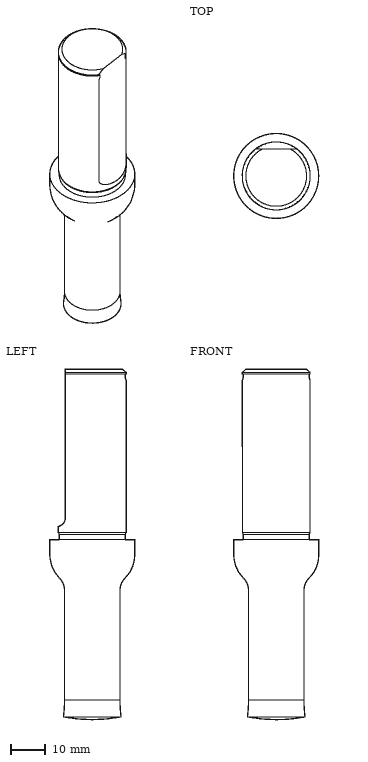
import cadquery as cq
import math

total_length = 103.0
shank_radius = 20.0 / 2
groove_radius = 19.5 / 2
collar_radius = 25.0 / 2
stem_radius = 16.4 / 2
tip_radius = 17.0 / 2

dome_height = 0.8
flare_top = 5.8

fillet_bottom = 38.0
ball_top = 48.3
collar_top = 52.9
ball_radius = 9.3
relief_radius = 21.7 / 2
relief_depth = 0.3

neck_top = 54.5
shank_bottom = 55.0
groove_cone_bottom = 99.6
groove_bottom = 100.5
groove_top = 101.6
chamfer_bottom = 102.0
end_radius = 17.8 / 2

flat_offset = 7.9
flat_end = 59.3
runout_radius = 2.6


def point_on_circle(center, radius, angle):
    return (center[0] + radius * math.cos(angle), center[1] + radius * math.sin(angle))


def make_holder():
    """Revolved stem, collar and shank, seated on top of the tip."""
    ball_center = (collar_radius - ball_radius, ball_top)
    rise = ball_top - fillet_bottom
    offset = stem_radius - ball_center[0]
    fillet_radius = (offset**2 + rise**2 - ball_radius**2) / (2 * (ball_radius - offset))
    fillet_center = (stem_radius + fillet_radius, fillet_bottom)
    blend_angle = math.atan2(rise, offset + fillet_radius)
    fillet_middle = point_on_circle(fillet_center, fillet_radius, math.pi - blend_angle / 2)
    blend_point = point_on_circle(ball_center, ball_radius, -blend_angle)
    ball_middle = point_on_circle(ball_center, ball_radius, -blend_angle / 2)

    holder = (
        cq.Workplane("XZ")
        .moveTo(0, flare_top)
        .lineTo(stem_radius, flare_top)
        .lineTo(stem_radius, fillet_bottom)
        .threePointArc(fillet_middle, blend_point)
        .threePointArc(ball_middle, (collar_radius, ball_top))
        .lineTo(collar_radius, collar_top)
        .lineTo(relief_radius, collar_top)
        .lineTo(groove_radius, collar_top - relief_depth)
        .lineTo(groove_radius, neck_top)
        .lineTo(shank_radius, shank_bottom)
        .lineTo(shank_radius, groove_cone_bottom)
        .lineTo(groove_radius, groove_bottom)
        .lineTo(groove_radius, groove_top)
        .lineTo(shank_radius, groove_top)
        .lineTo(shank_radius, chamfer_bottom)
        .lineTo(end_radius, total_length)
        .lineTo(0, total_length)
        .close()
        .revolve(360, (0, 0), (0, 1))
    )
    return holder.cut(make_flat_cutter())


def flare_middle():
    """Middle point of the flare arc, which is tangent to the stem."""
    widening = tip_radius - stem_radius
    drop = flare_top - dome_height
    radius = (widening**2 + drop**2) / (2 * widening)
    center = (stem_radius + radius, flare_top)
    return point_on_circle(center, radius, math.pi + math.asin(drop / radius) / 2)


def make_flat_cutter():
    """Block that removes the flat and its quarter-round run-out."""
    outer_edge = flat_offset + runout_radius
    runout_middle = point_on_circle((outer_edge, flat_end), runout_radius, 1.25 * math.pi)
    return (
        cq.Workplane("YZ")
        .moveTo(flat_offset, total_length)
        .lineTo(flat_offset, flat_end)
        .threePointArc(runout_middle, (outer_edge, flat_end - runout_radius))
        .lineTo(outer_edge, total_length)
        .close()
        .extrude(shank_radius, both=True)
    )


def make_tip():
    """Cutting tip with a flared side and a shallow domed end face."""
    dome_radius = (tip_radius**2 + dome_height**2) / (2 * dome_height)
    half_angle = math.asin(tip_radius / dome_radius) / 2
    dome_middle = point_on_circle((0, dome_radius), dome_radius, half_angle - math.pi / 2)
    return (
        cq.Workplane("XZ")
        .moveTo(0, 0)
        .threePointArc(dome_middle, (tip_radius, dome_height))
        .threePointArc(flare_middle(), (stem_radius, flare_top))
        .lineTo(0, flare_top)
        .close()
        .revolve(360, (0, 0), (0, 1))
    )


holder = make_holder()
tip = make_tip()

result = cq.Compound.makeCompound([holder.val(), tip.val()])